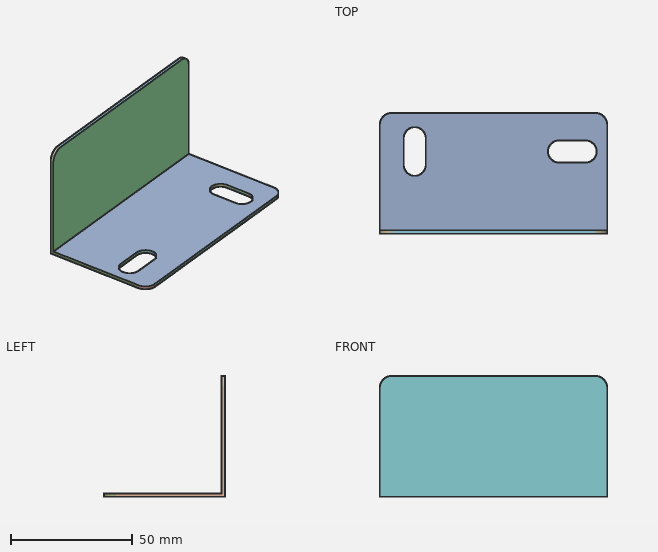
import cadquery as cq

length = 94.0
leg = 50.0
thickness = 1.5
corner_radius = 5.0

slot_length = 20.0
slot_width = 9.0
slot_side_inset = 14.5
slot_back_inset = 16.0

slot_x = length / 2 - slot_side_inset
slot_y = leg - slot_back_inset


def base_plate():
    """Horizontal leg with rounded rear corners."""
    plate = cq.Workplane("XY").box(length, leg, thickness, centered=(True, False, False))
    return plate.edges("|Z and >Y").fillet(corner_radius)


def upright_plate():
    """Vertical front leg with rounded top corners."""
    plate = cq.Workplane("XY").box(length, thickness, leg, centered=(True, False, False))
    return plate.edges("|Y and >Z").fillet(corner_radius)


def slot_cutter(x, angle):
    """Through slot; an angle of 0 runs along X and 90 along Y."""
    return (
        cq.Workplane("XY")
        .center(x, slot_y)
        .slot2D(slot_length, slot_width, angle)
        .extrude(thickness)
    )


bracket = base_plate().union(upright_plate())
for x, angle in [(-slot_x, 90), (slot_x, 0)]:
    bracket = bracket.cut(slot_cutter(x, angle))

result = bracket